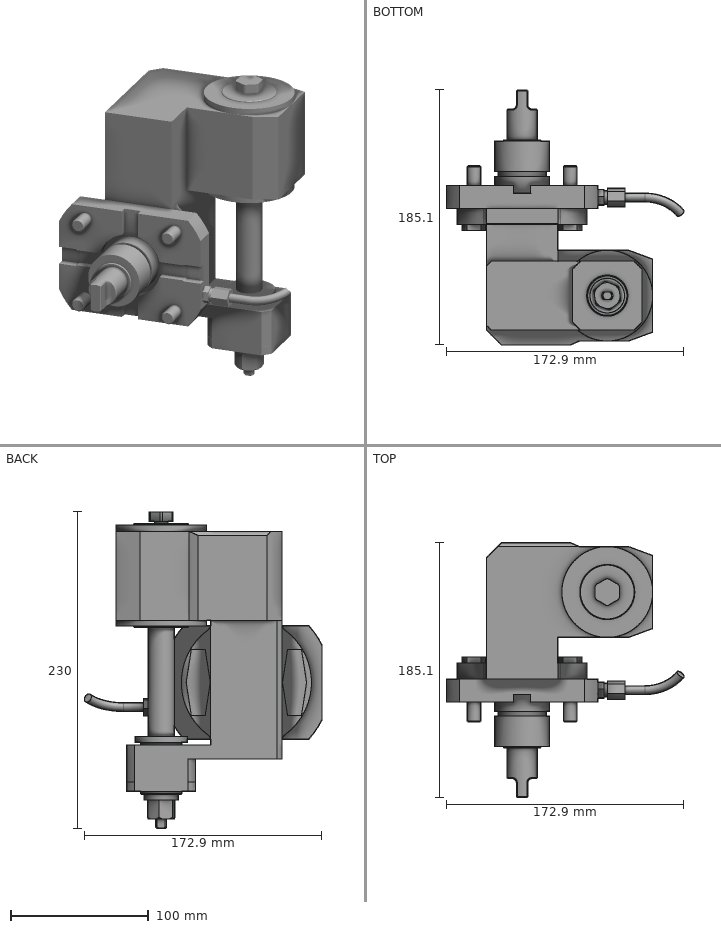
import cadquery as cq
import math


PLATE_WIDTH = 110.1
PLATE_HEIGHT = 82.5
PLATE_DEPTH = 16.8
PLATE_CORNER_DIAMETER = 122.5

CROSS_SLOT_WIDTH = 12.5
CROSS_SLOT_DEPTH = 5.5
KEY_SLOT_WIDTH = 13.0
KEY_SLOT_DEPTH = 6.0
KEY_SLOT_LENGTH = 14.0
KEY_SLOT_CORNER = 1.5
INNER_SLOT_WIDTH = 11.7
RECESS_DIAMETER = 47.5
RECESS_DEPTH = 6.0

STUD_DIAMETER = 10.0
STUD_LENGTH = 14.5
STUD_CHAMFER = 1.0
STUD_X = 35.0
STUD_Z = 31.0

FLANGE_DIAMETER = 94.5
FLANGE_DEPTH = 11.7
FLANGE_BACK = PLATE_DEPTH + FLANGE_DEPTH
FLANGE_FILLET = 5.0
FOOT_BOTTOM = -44.8
FOOT_CHAMFER = 1.0
CLAMP_DEPTH = 4.4
CLAMP_HALF_HEIGHT = 24.0
CLAMP_HALF_WIDTH = 8.7
CLAMP_HALF_END = 5.0

PILOT_DIAMETER = 40.0
PILOT_LENGTH = 32.2
GROOVE_DIAMETER = 35.2
GROOVE_START = 6.7
GROOVE_WIDTH = 3.5
SHOULDER_DIAMETER = 27.4
SHOULDER_LENGTH = 1.0
SHOULDER_CHAMFER = 0.5
SHAFT_DIAMETER = 22.0
SHAFT_CHAMFER = 0.7
SHAFT_END = 55.5
TANG_END = 69.2
TANG_THICKNESS = 8.3
TANG_FILLET = 3.2

AXIS_X = 61.8
AXIS_Y = 80.0

COLUMN_WIDTH = 52.0
COLUMN_LEFT = -COLUMN_WIDTH / 2
COLUMN_RIGHT = COLUMN_WIDTH / 2
COLUMN_BOTTOM = -43.5
COLUMN_CHAMFER = 3.7
HOUSING_TOP = 109.7
HEAD_BOTTOM = 45.0
HEAD_DIAMETER = 66.0
HEAD_FRONT = AXIS_Y - HEAD_DIAMETER / 2
HEAD_BACK = AXIS_Y + HEAD_DIAMETER / 2
HEAD_RIGHT = AXIS_X + HEAD_DIAMETER / 2
HEAD_CORNER_X = 17.5
HEAD_CORNER_Y = 6.5
TOP_FLANGE_HEIGHT = 4.8
LOWER_FLANGE_HEIGHT = 4.1

PAD_BACK = 115.9
PAD_DEPTH = PAD_BACK - HEAD_BACK
PAD_FLAT_RIGHT = 35.2
PAD_RIGHT = 41.5
BACK_CORNER = 11.0

BLOCK_SIZE = 50.1
BLOCK_CHAMFER = 5.7
BLOCK_BOTTOM = -79.0
BLOCK_BACK = AXIS_Y + BLOCK_SIZE / 2
BLOCK_FRONT = AXIS_Y - BLOCK_SIZE / 2
COVER_TOP = -72.5
ARM_TOP = -45.3
ARM_BOTTOM = -55.6

TIP_BOTTOM = -106.0
TIP_DIAMETER = 8.0
TIP_THICKNESS = 5.5
TIP_CHAMFER = 1.0
NUT_BOTTOM = -99.3
NUT_RADIUS = 10.5
NUT_ANGLE = 21
NUT_CHAMFER_DIAMETER = 18.9
NUT_CHAMFER_HEIGHT = 1.4
NUT_TOP = -85.5
WASHER_DIAMETER = 25.0
WASHER_TOP = -81.4
BUSH_DIAMETER = 30.0
BUSH_CHAMFER = 0.7
COLLAR_DIAMETER = 38.0
COLLAR_BOTTOM = -43.5
COLLAR_TOP = -39.0
ROD_DIAMETER = 19.0
CORE_DIAMETER = 40.0
CORE_STEP = 1.0
CORE_CHAMFER = 0.5
CORE_BOTTOM = HEAD_BOTTOM - LOWER_FLANGE_HEIGHT - CORE_STEP
CORE_TOP = HOUSING_TOP + TOP_FLANGE_HEIGHT + CORE_STEP
NECK_DIAMETER = 10.0
BOLT_BOTTOM = 117.0
BOLT_TOP = 124.0
BOLT_FLATS = 17.5
BOLT_DIAMETER = 19.3

HOSE_Y = 8.7
HOSE_Z = -18.0
FITTING_RADIUS = 6.5
FITTING_ANGLE = 23
FITTING_LENGTH = 4.4
THREAD_DIAMETER = 10.1
THREAD_LENGTH = 2.5
HOSE_NUT_RADIUS = 7.0
HOSE_NUT_ANGLE = 51
HOSE_NUT_LENGTH = 12.9
HOSE_DIAMETER = 6.5
HOSE_STRAIGHT = 14.3
HOSE_BEND_RADIUS = 32.2
HOSE_BEND_ANGLE = 54
HOSE_BEND_TILT = 30


def box(x0, x1, y0, y1, z0, z1):
    """A box between two opposite corners."""
    return cq.Workplane("XY").box(x1 - x0, y1 - y0, z1 - z0, centered=False).translate((x0, y0, z0))


def disc_y(diameter, y0, y1, x=0, z=0):
    """A cylinder along Y from y0 to y1."""
    return cq.Workplane("XZ", origin=(x, y0, z)).circle(diameter / 2).extrude(y0 - y1)


def spindle_disc(diameter, z0, z1):
    """A cylinder on the spindle axis from z0 to z1."""
    return cq.Workplane("XY", origin=(AXIS_X, AXIS_Y, z0)).circle(diameter / 2).extrude(z1 - z0)


def prism_z(points, z0, z1):
    """A prism over an XY outline."""
    return cq.Workplane("XY", origin=(0, 0, z0)).polyline(points).close().extrude(z1 - z0)


def prism_y(points, y0, y1):
    """A prism along Y over an XZ outline."""
    return cq.Workplane("XZ", origin=(0, y0, 0)).polyline(points).close().extrude(y0 - y1)


def hexagon(radius, first_angle):
    """Corners of a regular hexagon around the origin."""
    angles = [math.radians(first_angle + 60 * corner) for corner in range(6)]
    return [(radius * math.cos(angle), radius * math.sin(angle)) for angle in angles]


def mounting_plate():
    plate = box(-PLATE_WIDTH / 2, PLATE_WIDTH / 2, 0, PLATE_DEPTH, -PLATE_HEIGHT / 2, PLATE_HEIGHT / 2)
    plate = plate.intersect(disc_y(PLATE_CORNER_DIAMETER, 0, PLATE_DEPTH))

    def slot(length, width, depth):
        return box(-length / 2, length / 2, 0, depth, -width / 2, width / 2)

    plate = plate.cut(slot(CROSS_SLOT_WIDTH, PLATE_HEIGHT, CROSS_SLOT_DEPTH))
    plate = plate.cut(slot(PLATE_WIDTH, INNER_SLOT_WIDTH, CROSS_SLOT_DEPTH))
    for side in (-1, 1):
        key_slot = slot(2 * KEY_SLOT_LENGTH, KEY_SLOT_WIDTH, KEY_SLOT_DEPTH)
        key_slot = key_slot.edges("|Y").fillet(KEY_SLOT_CORNER)
        plate = plate.cut(key_slot.translate((side * PLATE_WIDTH / 2, 0, 0)))
    return plate.cut(disc_y(RECESS_DIAMETER, 0, RECESS_DEPTH))


def studs():
    stud = disc_y(STUD_DIAMETER, -STUD_LENGTH, PLATE_DEPTH).faces("<Y").chamfer(STUD_CHAMFER)
    places = [(x, 0, z) for x in (-STUD_X, STUD_X) for z in (-STUD_Z, STUD_Z)]
    return [stud.translate(place) for place in places]


def flange_fillet(side, end):
    """Concave fillet between the flange rim and one side of the column, above or below the axis."""
    centre_x = COLUMN_RIGHT + FLANGE_FILLET
    centre_distance = FLANGE_DIAMETER / 2 + FLANGE_FILLET
    centre_z = math.sqrt(centre_distance**2 - centre_x**2)
    rim = FLANGE_DIAMETER / 2 / centre_distance
    web = prism_y(
        [
            (0, 0),
            (side * centre_x * rim, end * centre_z * rim),
            (side * centre_x, end * centre_z),
            (side * COLUMN_RIGHT, end * centre_z),
            (0, end * centre_z),
        ],
        PLATE_DEPTH,
        FLANGE_BACK,
    )
    return web.cut(disc_y(2 * FLANGE_FILLET, PLATE_DEPTH, FLANGE_BACK, side * centre_x, end * centre_z))


def rear_flange():
    foot = box(COLUMN_LEFT, COLUMN_RIGHT, PLATE_DEPTH, FLANGE_BACK, FOOT_BOTTOM, 0)
    radius = FLANGE_DIAMETER / 2
    limit = box(-radius, radius, PLATE_DEPTH, FLANGE_BACK, FOOT_BOTTOM, radius)
    limit = limit.edges(">Y and <Z").chamfer(FOOT_CHAMFER)
    flange = disc_y(FLANGE_DIAMETER, PLATE_DEPTH, FLANGE_BACK).union(foot).intersect(limit)
    for side in (-1, 1):
        for end in (-1, 1):
            flange = flange.union(flange_fillet(side, end))
    for side in (-1, 1):
        clamp = [
            (-CLAMP_HALF_WIDTH, 0),
            (-CLAMP_HALF_END, CLAMP_HALF_HEIGHT),
            (CLAMP_HALF_END, CLAMP_HALF_HEIGHT),
            (CLAMP_HALF_WIDTH, 0),
            (CLAMP_HALF_END, -CLAMP_HALF_HEIGHT),
            (-CLAMP_HALF_END, -CLAMP_HALF_HEIGHT),
        ]
        block = prism_y(clamp, PLATE_DEPTH, FLANGE_BACK + CLAMP_DEPTH)
        flange = flange.union(block.translate((side * STUD_X, 0, 0)))
    return flange


def drive_shaft():
    groove_end = GROOVE_START + GROOVE_WIDTH
    shoulder_end = PILOT_LENGTH + SHOULDER_LENGTH
    shaft = disc_y(PILOT_DIAMETER, -PILOT_LENGTH, PLATE_DEPTH)
    ring = disc_y(PILOT_DIAMETER, -groove_end, -GROOVE_START)
    shaft = shaft.cut(ring.cut(disc_y(GROOVE_DIAMETER, -groove_end, -GROOVE_START)))
    shoulder = disc_y(SHOULDER_DIAMETER, -shoulder_end, -PILOT_LENGTH)
    shaft = shaft.union(shoulder.faces("<Y").chamfer(SHOULDER_CHAMFER))

    end = disc_y(SHAFT_DIAMETER, -TANG_END, -PILOT_LENGTH)
    half = TANG_THICKNESS / 2
    for side in (-1, 1):
        relief = (
            cq.Workplane("XY", origin=(0, 0, -SHAFT_DIAMETER / 2))
            .moveTo(side * half, -TANG_END)
            .lineTo(side * half, -SHAFT_END - TANG_FILLET)
            .radiusArc((side * (half + TANG_FILLET), -SHAFT_END), side * TANG_FILLET)
            .lineTo(side * SHAFT_DIAMETER, -SHAFT_END)
            .lineTo(side * SHAFT_DIAMETER, -TANG_END)
            .close()
            .extrude(SHAFT_DIAMETER)
        )
        end = end.cut(relief)
    tang_zone = cq.selectors.BoxSelector(
        (-SHAFT_DIAMETER, -2 * TANG_END, -SHAFT_DIAMETER),
        (SHAFT_DIAMETER, -SHAFT_END + SHAFT_CHAMFER, SHAFT_DIAMETER),
    )
    round_seams = cq.selectors.StringSyntaxSelector("|Z and (not <Y)")
    end = end.edges(tang_zone - round_seams).chamfer(SHAFT_CHAMFER)
    return shaft.union(end)


def column():
    body = box(COLUMN_LEFT, COLUMN_RIGHT, PLATE_DEPTH, BLOCK_BACK, COLUMN_BOTTOM, HOUSING_TOP)
    return body.edges("<X and >Y").chamfer(COLUMN_CHAMFER)


def head():
    pad_left = COLUMN_LEFT + BACK_CORNER
    outline = [
        (COLUMN_LEFT, PLATE_DEPTH),
        (COLUMN_RIGHT, PLATE_DEPTH),
        (COLUMN_RIGHT, HEAD_FRONT),
        (HEAD_RIGHT - HEAD_CORNER_X, HEAD_FRONT),
        (HEAD_RIGHT, HEAD_FRONT + HEAD_CORNER_Y),
        (HEAD_RIGHT, HEAD_BACK - HEAD_CORNER_Y),
        (HEAD_RIGHT - HEAD_CORNER_X, HEAD_BACK),
        (PAD_RIGHT, HEAD_BACK),
        (PAD_FLAT_RIGHT, PAD_BACK),
        (pad_left, PAD_BACK),
        (COLUMN_LEFT, PAD_BACK - BACK_CORNER),
    ]
    body = prism_z(outline, HEAD_BOTTOM, HOUSING_TOP)
    bevel = (
        cq.Workplane("YZ", origin=(COLUMN_LEFT, 0, 0))
        .moveTo(HEAD_BACK, HOUSING_TOP)
        .lineTo(PAD_BACK, HOUSING_TOP - PAD_DEPTH)
        .lineTo(PAD_BACK, HOUSING_TOP)
        .close()
        .extrude(HEAD_RIGHT - COLUMN_LEFT)
    )
    body = body.cut(bevel)
    flange_bottom = HEAD_BOTTOM - LOWER_FLANGE_HEIGHT
    flange_top = HOUSING_TOP + TOP_FLANGE_HEIGHT
    return body.union(spindle_disc(HEAD_DIAMETER, flange_bottom, flange_top))


def arm():
    under = box(COLUMN_LEFT, COLUMN_RIGHT, BLOCK_FRONT, BLOCK_BACK, ARM_BOTTOM, COLUMN_BOTTOM)
    under = under.edges("|Z and <X").chamfer(COLUMN_CHAMFER)
    bridge = box(0, AXIS_X, BLOCK_FRONT, BLOCK_BACK, ARM_BOTTOM, ARM_TOP)
    return under.union(bridge)


def bearing_block():
    def square(z0, z1):
        half = BLOCK_SIZE / 2
        return box(AXIS_X - half, AXIS_X + half, BLOCK_FRONT, BLOCK_BACK, z0, z1)

    upper = square(ARM_BOTTOM, ARM_TOP).edges("|Z and >X").chamfer(BLOCK_CHAMFER)
    middle = square(COVER_TOP, ARM_BOTTOM).edges("|Z").chamfer(BLOCK_CHAMFER)
    corner_diameter = 2 * math.hypot(BLOCK_SIZE / 2, BLOCK_SIZE / 2 - BLOCK_CHAMFER)
    cover = square(BLOCK_BOTTOM, COVER_TOP).intersect(
        spindle_disc(corner_diameter, BLOCK_BOTTOM, COVER_TOP)
    )
    return upper.union(middle).union(cover)


def coolant_line():
    start = PLATE_WIDTH / 2
    nut_start = start + FITTING_LENGTH + THREAD_LENGTH
    hose_start = nut_start + HOSE_NUT_LENGTH

    def section(x):
        return cq.Workplane("YZ", origin=(x, HOSE_Y, HOSE_Z))

    fitting = section(start).polyline(hexagon(FITTING_RADIUS, FITTING_ANGLE)).close()
    fitting = fitting.extrude(FITTING_LENGTH)
    thread = section(start).circle(THREAD_DIAMETER / 2).extrude(nut_start - start)
    nut = section(nut_start).polyline(hexagon(HOSE_NUT_RADIUS, HOSE_NUT_ANGLE)).close()
    nut = nut.extrude(HOSE_NUT_LENGTH)
    return fitting.union(thread).union(nut).union(hose(hose_start))


def hose(start):
    """Hose that leaves the nut along X and then bends towards +Y and a little up."""
    bend_start = start + HOSE_STRAIGHT
    straight = cq.Workplane("YZ", origin=(start, HOSE_Y, HOSE_Z)).circle(HOSE_DIAMETER / 2)
    straight = straight.extrude(HOSE_STRAIGHT)
    bend = cq.Workplane("YZ", origin=(bend_start, HOSE_Y, HOSE_Z)).circle(HOSE_DIAMETER / 2)
    bend = bend.revolve(HOSE_BEND_ANGLE, (HOSE_BEND_RADIUS, 0), (HOSE_BEND_RADIUS, 1))
    bend = bend.rotate((0, HOSE_Y, HOSE_Z), (1, HOSE_Y, HOSE_Z), HOSE_BEND_TILT)
    return straight.union(bend)


def make_housing():
    body = column().union(head()).union(arm()).union(bearing_block())
    body = body.union(rear_flange()).union(mounting_plate())
    for stud in studs():
        body = body.union(stud)
    body = body.union(drive_shaft()).union(coolant_line())
    body = body.cut(spindle_disc(CORE_DIAMETER, CORE_BOTTOM, CORE_TOP))
    return body.cut(spindle_disc(BUSH_DIAMETER, BLOCK_BOTTOM, ARM_TOP))


def hex_nut():
    corners = [(AXIS_X + x, AXIS_Y + y) for x, y in hexagon(NUT_RADIUS, NUT_ANGLE)]
    nut = prism_z(corners, NUT_BOTTOM, NUT_TOP)
    blank = spindle_disc(2 * NUT_RADIUS, NUT_BOTTOM, NUT_TOP)
    rim = NUT_RADIUS - NUT_CHAMFER_DIAMETER / 2
    return nut.intersect(blank.faces("<Z").chamfer(NUT_CHAMFER_HEIGHT, rim))


def bolt_head():
    corner_radius = BOLT_FLATS / math.sqrt(3)
    corners = [(AXIS_X + x, AXIS_Y + y) for x, y in hexagon(corner_radius, 30)]
    head_blank = prism_z(corners, BOLT_BOTTOM, BOLT_TOP)
    return head_blank.intersect(spindle_disc(BOLT_DIAMETER, BOLT_BOTTOM, BOLT_TOP))


def make_spindle():
    tip = spindle_disc(TIP_DIAMETER, TIP_BOTTOM, NUT_BOTTOM).faces("<Z").chamfer(TIP_CHAMFER)
    tip_half = TIP_THICKNESS / 2
    tip = tip.intersect(
        box(
            AXIS_X - TIP_DIAMETER, AXIS_X + TIP_DIAMETER,
            AXIS_Y - tip_half, AXIS_Y + tip_half,
            TIP_BOTTOM, NUT_BOTTOM,
        )
    )
    body = tip.union(hex_nut()).union(spindle_disc(WASHER_DIAMETER, NUT_TOP, WASHER_TOP))
    bush = spindle_disc(BUSH_DIAMETER, WASHER_TOP, COLLAR_BOTTOM).faces("<Z or >Z").chamfer(BUSH_CHAMFER)
    body = body.union(bush).union(spindle_disc(COLLAR_DIAMETER, COLLAR_BOTTOM, COLLAR_TOP))
    body = body.union(spindle_disc(ROD_DIAMETER, COLLAR_TOP, CORE_BOTTOM))
    core = spindle_disc(CORE_DIAMETER, CORE_BOTTOM, CORE_TOP).faces("<Z or >Z").chamfer(CORE_CHAMFER)
    body = body.union(core)
    return body.union(spindle_disc(NECK_DIAMETER, CORE_TOP, BOLT_BOTTOM)).union(bolt_head())


housing = make_housing()
spindle = make_spindle()
result = cq.Compound.makeCompound([housing.val(), spindle.val()])